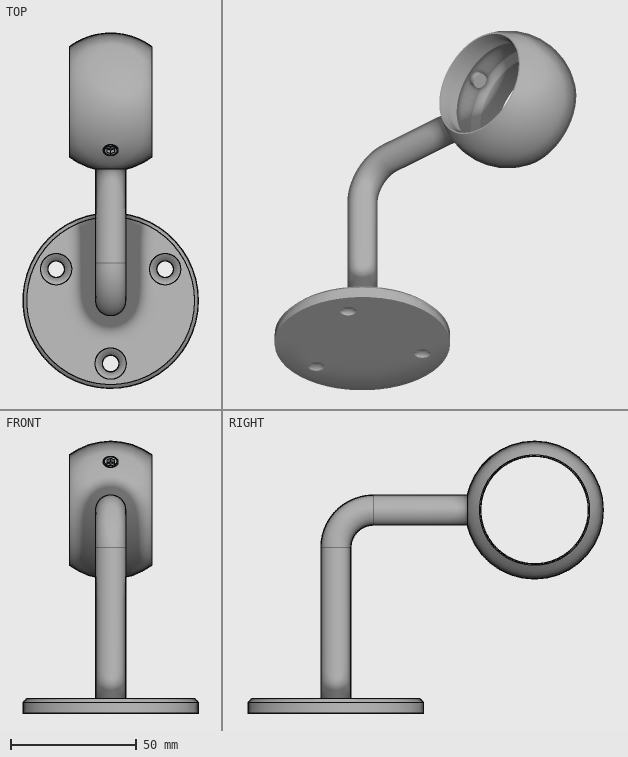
import cadquery as cq
import math

PLATE_DIAMETER = 70.0
PLATE_THICKNESS = 6.0
PLATE_CHAMFER = 1.5
HOLE_DIAMETER = 6.5
COUNTERSINK_DIAMETER = 12.5
COUNTERSINK_ANGLE = 90.0
HOLE_COUNT = 3
HOLE_CIRCLE_RADIUS = 25.1
FIRST_HOLE_ANGLE = -90.0

ROD_DIAMETER = 12.0
BEND_RADIUS = 15.0

BALL_DIAMETER = 55.0
RING_WIDTH = 33.0
BORE_DIAMETER = 42.8
GROOVE_DIAMETER = 49.0
GROOVE_FLOOR_WIDTH = 9.4
GROOVE_MOUTH_WIDTH = 13.9

SCREW_DIAMETER = 6.0
SCREW_ELEVATION = 45.0
SCREW_TOP_DIAMETER = 5.0
SOCKET_ACROSS_FLATS = 3.0
SOCKET_DEPTH = 2.0
HEXAGON_CORNER_ANGLE = 90.0

OVERALL_LENGTH = 141.7
OVERALL_HEIGHT = 108.5

ROD_RADIUS = ROD_DIAMETER / 2
BALL_RADIUS = BALL_DIAMETER / 2
BORE_RADIUS = BORE_DIAMETER / 2
SCREW_RADIUS = SCREW_DIAMETER / 2
RING_Y = OVERALL_LENGTH - PLATE_DIAMETER / 2 - BALL_RADIUS
RING_Z = OVERALL_HEIGHT - BALL_RADIUS


def ball_depth_at(radius):
    """Distance from the ball centre to a circle of this radius lying on the ball."""
    return math.sqrt(BALL_RADIUS ** 2 - radius ** 2)


ROD_SEAT_DISTANCE = ball_depth_at(ROD_RADIUS)


def make_plate():
    """Round plate with a chamfered top edge and countersunk mounting holes."""
    return (
        cq.Workplane("XY")
        .circle(PLATE_DIAMETER / 2)
        .extrude(PLATE_THICKNESS)
        .faces(">Z")
        .chamfer(PLATE_CHAMFER)
        .faces(">Z")
        .workplane()
        .polarArray(HOLE_CIRCLE_RADIUS, FIRST_HOLE_ANGLE, 360, HOLE_COUNT)
        .cskHole(HOLE_DIAMETER, COUNTERSINK_DIAMETER, COUNTERSINK_ANGLE)
    )


def make_rod():
    """Rod that rises from the plate, bends a quarter turn and ends on the ring's seat."""
    bend_start_z = RING_Z - BEND_RADIUS
    bend_middle_offset = BEND_RADIUS * (1 - math.sqrt(0.5))
    path = (
        cq.Workplane("YZ")
        .moveTo(0, PLATE_THICKNESS)
        .lineTo(0, bend_start_z)
        .threePointArc((bend_middle_offset, RING_Z - bend_middle_offset), (BEND_RADIUS, RING_Z))
        .lineTo(RING_Y - ROD_SEAT_DISTANCE, RING_Z)
    )
    return (
        cq.Workplane("XY")
        .workplane(offset=PLATE_THICKNESS)
        .circle(ROD_RADIUS)
        .sweep(path)
    )


def screw_workplane(distance):
    """Plane across the screw axis, at a distance from the ring centre and facing outward."""
    elevation = math.radians(SCREW_ELEVATION)
    outward_y = -math.cos(elevation)
    outward_z = math.sin(elevation)
    origin = (0, RING_Y + distance * outward_y, RING_Z + distance * outward_z)
    return cq.Workplane(cq.Plane(origin=origin, xDir=(1, 0, 0), normal=(0, outward_y, outward_z)))


def make_ring():
    """Ball-shaped ring with a grooved bore, a flat seat for the rod and a screw hole."""
    half_width = RING_WIDTH / 2
    end_radius = ball_depth_at(half_width)
    groove_radius = GROOVE_DIAMETER / 2
    ring = (
        cq.Workplane("XY")
        .moveTo(-half_width, BORE_RADIUS)
        .lineTo(-half_width, end_radius)
        .threePointArc((0, BALL_RADIUS), (half_width, end_radius))
        .lineTo(half_width, BORE_RADIUS)
        .lineTo(GROOVE_MOUTH_WIDTH / 2, BORE_RADIUS)
        .lineTo(GROOVE_FLOOR_WIDTH / 2, groove_radius)
        .lineTo(-GROOVE_FLOOR_WIDTH / 2, groove_radius)
        .lineTo(-GROOVE_MOUTH_WIDTH / 2, BORE_RADIUS)
        .close()
        .revolve(360, (0, 0, 0), (1, 0, 0))
        .translate((0, RING_Y, RING_Z))
    )
    rod_seat = (
        cq.Workplane("XZ", origin=(0, RING_Y - ROD_SEAT_DISTANCE, RING_Z))
        .circle(ROD_DIAMETER)
        .extrude(BALL_RADIUS)
    )
    screw_hole = screw_workplane(0).circle(SCREW_RADIUS).extrude(BALL_DIAMETER)
    return ring.cut(rod_seat).cut(screw_hole)


def make_set_screw():
    """Headless screw from the ball surface to the bore, with a hexagon socket."""
    chamfer = (SCREW_DIAMETER - SCREW_TOP_DIAMETER) / 2
    socket_across_corners = SOCKET_ACROSS_FLATS / math.cos(math.pi / 6)
    outer_end = screw_workplane(BALL_RADIUS)
    end_centre = outer_end.plane.origin.toTuple()
    socket = (
        outer_end
        .transformed(rotate=(0, 0, HEXAGON_CORNER_ANGLE))
        .polygon(6, socket_across_corners)
        .extrude(-SOCKET_DEPTH)
    )
    return (
        screw_workplane(BORE_RADIUS)
        .circle(SCREW_RADIUS)
        .extrude(BALL_RADIUS - BORE_RADIUS)
        .faces(cq.NearestToPointSelector(end_centre))
        .chamfer(chamfer)
        .cut(socket)
    )


plate = make_plate()
rod = make_rod()
ring = make_ring()
set_screw = make_set_screw()

result = cq.Compound.makeCompound([plate.val(), rod.val(), ring.val(), set_screw.val()])